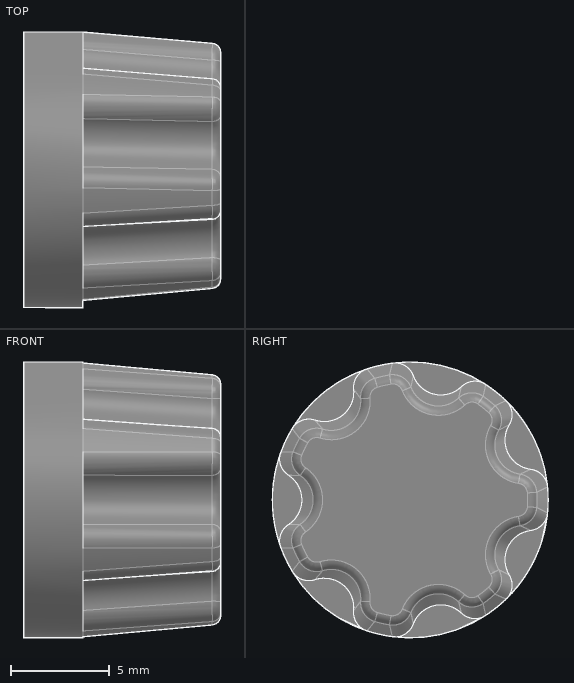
import cadquery as cq
import math

outer_radius = 7.0
total_length = 10.0
collar_length = 3.0
taper_angle = 5.0

flute_count = 7
flute_radius = 1.5
flute_edge_fillet = 1.0
end_fillet = 0.48

hole_diameter = 2.9
hole_depth = 5.0
hole_y = 1.18
hole_z = 1.67

grip_length = total_length - collar_length
tip_radius = outer_radius - grip_length * math.tan(math.radians(taper_angle))
cutter_overrun = 1.4


def make_grip_cone():
    """Plain tapered grip, starting at the end of the collar."""
    return (
        cq.Workplane("XY")
        .moveTo(collar_length, 0)
        .lineTo(collar_length, outer_radius)
        .lineTo(total_length, tip_radius)
        .lineTo(total_length, 0)
        .close()
        .revolve(360, (0, 0, 0), (1, 0, 0))
    )


def make_flute_cutter(angle):
    """Cylinder whose axis lies along the cone surface, turned about X from the -Y side."""
    slope = math.radians(taper_angle)
    axis = cq.Vector(math.cos(slope), math.sin(slope), 0)
    start = cq.Vector(collar_length, -outer_radius, 0) - axis * cutter_overrun
    length = grip_length / math.cos(slope) + 2 * cutter_overrun
    cutter = cq.Solid.makeCylinder(flute_radius, length, start, axis)
    return cutter.rotate(cq.Vector(0, 0, 0), cq.Vector(1, 0, 0), angle)


def make_grip():
    """Fluted grip with rounded lobes and a rounded free end."""
    grip = make_grip_cone()
    for index in range(flute_count):
        grip = grip.cut(cq.Workplane(make_flute_cutter(index * 360 / flute_count)))
    lengthwise_edges = grip.edges("not(<X or >X)")
    grip = lengthwise_edges.fillet(flute_edge_fillet)
    return grip.faces(">X").edges().fillet(end_fillet)


collar = cq.Workplane("YZ").circle(outer_radius).extrude(collar_length)
holes = (
    cq.Workplane("YZ")
    .pushPoints([(hole_y, hole_z), (-hole_y, -hole_z)])
    .circle(hole_diameter / 2)
    .extrude(hole_depth)
)

result = collar.union(make_grip()).cut(holes)